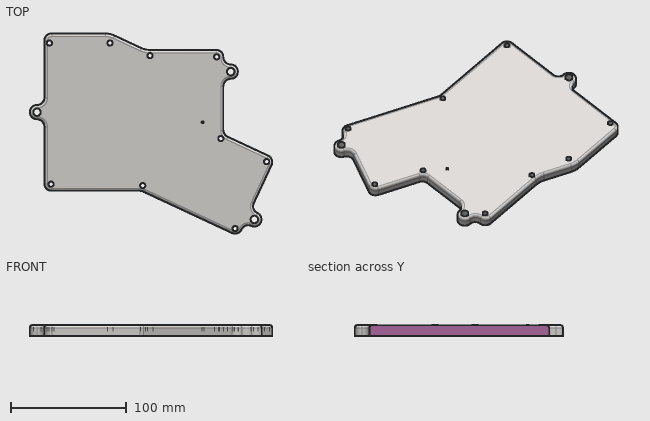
import cadquery as cq
import math

thickness = 9.6
top_edge_radius = 2.5
corner_radius = 6.3
shoulder_radius = 18.8

body_right = 154.6
body_top = 136.0
right_top = 121.8
shoulder_x = 56.7

arm_angle = 25.0
arm_root_y = 48.5
arm_length = 48.8
arm_width = 73.9

lug_radius = 6.3
lug_hole_diameter = 6.3
lug_overlap = 2.0
left_lug_y = 68.0
right_lug_y = right_top - corner_radius - 2 * lug_radius
arm_lug_distance = arm_width - corner_radius - 2 * lug_radius

screw_hole_diameter = 4.4
screw_hole_centers = [
    (4.4, 127.6),
    (56.7, 127.6),
    (91.2, 116.8),
    (148.8, 115.7),
    (152.3, 45.2),
    (191.9, 25.3),
    (164.7, -32.5),
    (85.0, 4.5),
    (5.9, 5.9),
]
pin_hole_diameter = 1.6
pin_hole_center = (136.6, 59.2)

arm_cos = math.cos(math.radians(arm_angle))
arm_sin = math.sin(math.radians(arm_angle))
arm_tan = arm_sin / arm_cos


def along_arm_end(distance):
    """Point on the end wall of the arm, measured from its upper corner."""
    x = body_right + arm_length * arm_cos - distance * arm_sin
    y = arm_root_y - arm_length * arm_sin - distance * arm_cos
    return x, y


def make_body():
    """Extruded outline with its vertical corners rounded."""
    slope_end_x = shoulder_x + (body_top - right_top) / arm_tan
    arm_low_x, arm_low_y = along_arm_end(arm_width)
    arm_start_x = arm_low_x + arm_low_y / arm_tan
    shoulder_corners = [(shoulder_x, body_top), (slope_end_x, right_top)]
    outline = [
        (0, 0),
        (0, body_top),
        *shoulder_corners,
        (body_right, right_top),
        (body_right, arm_root_y),
        along_arm_end(0),
        (arm_low_x, arm_low_y),
        (arm_start_x, 0),
    ]
    body = cq.Workplane("XY").polyline(outline).close().extrude(thickness)
    for corner in outline:
        radius = shoulder_radius if corner in shoulder_corners else corner_radius
        edge_middle = (*corner, thickness / 2)
        body = body.edges(cq.NearestToPointSelector(edge_middle)).fillet(radius)
    return body


def make_lug(wall_point, outward_angle):
    """Round lug blending into its wall through two quarter arcs."""
    r = lug_radius
    bend = r * math.sqrt(0.5)
    return (
        cq.Workplane("XY")
        .moveTo(-lug_overlap, -2 * r)
        .lineTo(0, -2 * r)
        .threePointArc((r - bend, -2 * r + bend), (r, -r))
        .threePointArc((2 * r, 0), (r, r))
        .threePointArc((r - bend, 2 * r - bend), (0, 2 * r))
        .lineTo(-lug_overlap, 2 * r)
        .close()
        .extrude(thickness)
        .rotate((0, 0, 0), (0, 0, 1), outward_angle)
        .translate((*wall_point, 0))
    )


def make_holes(centers, diameter):
    """Cylinders that cut through the full thickness."""
    return cq.Workplane("XY").pushPoints(centers).circle(diameter / 2).extrude(thickness)


lugs = [
    ((0, left_lug_y), 180),
    ((body_right, right_lug_y), 0),
    (along_arm_end(arm_lug_distance), -arm_angle),
]

plate = make_body()
lug_hole_centers = []
for (wall_x, wall_y), angle in lugs:
    plate = plate.union(make_lug((wall_x, wall_y), angle))
    hole_x = wall_x + lug_radius * math.cos(math.radians(angle))
    hole_y = wall_y + lug_radius * math.sin(math.radians(angle))
    lug_hole_centers.append((hole_x, hole_y))

plate = plate.clean().faces(">Z").edges().fillet(top_edge_radius)
plate = plate.cut(make_holes(lug_hole_centers, lug_hole_diameter))
plate = plate.cut(make_holes(screw_hole_centers, screw_hole_diameter))
result = plate.cut(make_holes([pin_hole_center], pin_hole_diameter))